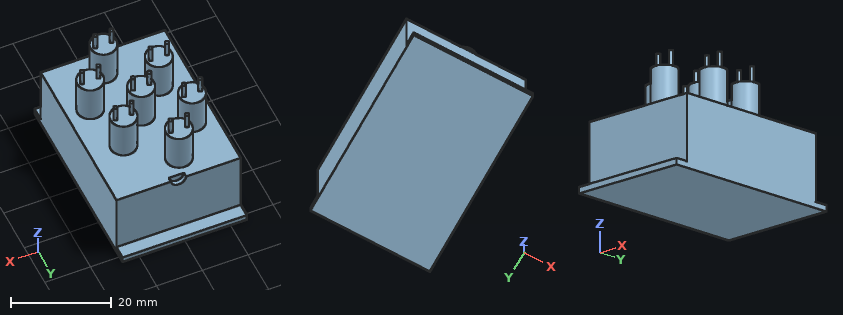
import cadquery as cq

width = 27.2
plate_length = 42.95
plate_thickness = 1.37
housing_length = 36.9
housing_top = 15.7

post_diameter = 5.6
post_top = 24.45
pin_diameter = 0.8
pin_spacing = 3.55
pin_top = 27.95

pattern_x = -0.1
outer_posts = [(-2.3, 13.22), (-8.6, 5.7), (6.45, 5.7)]
post_centers = [(pattern_x, 0)]
for x, y in outer_posts:
    post_centers += [(pattern_x + x, y), (pattern_x - x, -y)]

notch_diameter = 3.2
notch_depth = 1.07


def block(length, height):
    return cq.Workplane("XY").box(width, length, height, centered=(True, True, False))


def cylinders(centers, diameter, bottom, top):
    plane = cq.Workplane("XY").workplane(offset=bottom)
    return plane.pushPoints(centers).circle(diameter / 2).extrude(top - bottom)


def edge_notch():
    wall = cq.Workplane("XZ", origin=(0, housing_length / 2, housing_top))
    return wall.circle(notch_diameter / 2).extrude(notch_depth)


pin_centers = [
    (x + side * pin_spacing / 2, y)
    for x, y in post_centers
    for side in (-1, 1)
]

body = block(plate_length, plate_thickness).union(block(housing_length, housing_top))
body = body.cut(edge_notch())
posts = cylinders(post_centers, post_diameter, housing_top, post_top)
pins = cylinders(pin_centers, pin_diameter, post_top, pin_top)

result = body.union(posts).union(pins)